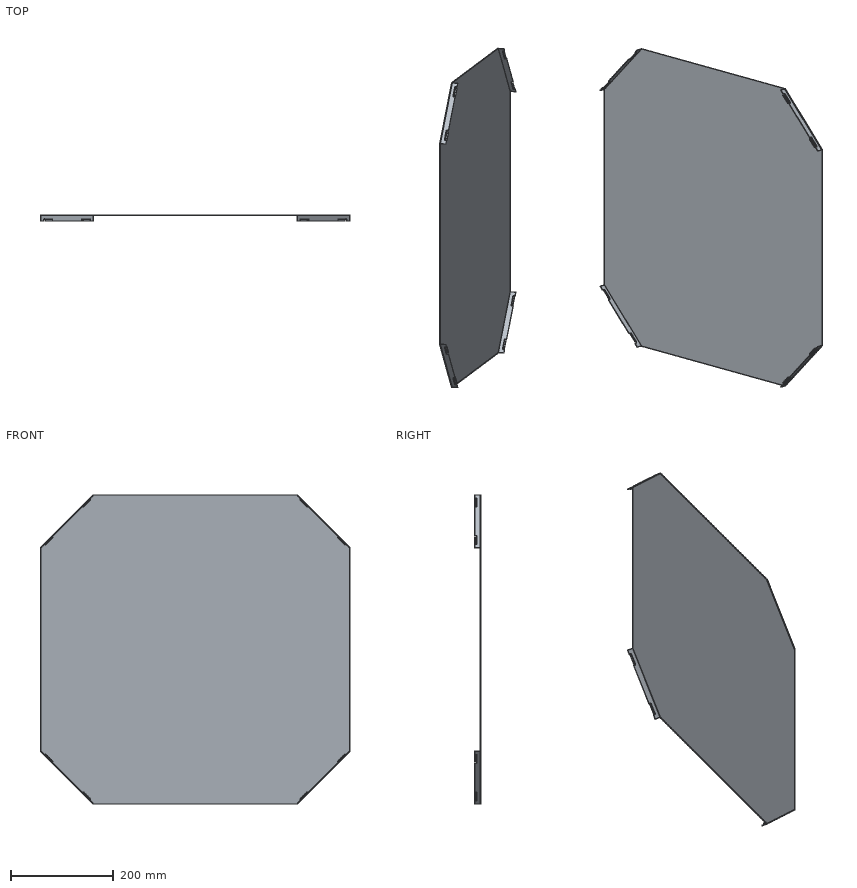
import cadquery as cq
import math

long_side = 400.0
corner_side = 146.0
flange_thickness = 1.0
overall_depth = 12.5
panel_thickness = 1.5

tab_length = 20.0
tab_spacing = 104.6
tab_height = 4.5
tab_slope_height = 1.5
tab_offset = 2.5
tab_clearance = 2.0
notch_corner_radius = 1.9

corner_leg = corner_side / math.sqrt(2)
half_width = long_side / 2 + corner_leg
back_face = overall_depth / 2
free_edge = -overall_depth / 2
flange_reach = (half_width + long_side / 2) / math.sqrt(2)
flange_inner = flange_reach - flange_thickness
tab_root = free_edge + tab_height
tab_centres = (-tab_spacing / 2, tab_spacing / 2)
corner_angles = (45, 135, 225, 315)


def make_panel():
    square_width = 2 * half_width
    return (
        cq.Workplane("XY")
        .box(square_width, panel_thickness, square_width)
        .edges("|Y")
        .chamfer(corner_leg)
        .translate((0, back_face - panel_thickness / 2, 0))
    )


def make_flat_flange():
    """Flat flange on the +X side, running along Z."""
    flange = cq.Workplane("XY").box(flange_thickness, overall_depth, corner_side)
    return flange.translate((flange_reach - flange_thickness / 2, 0, 0))


def make_notch(centre):
    notch_length = tab_length + 2 * tab_clearance
    return (
        cq.Workplane("XY")
        .box(flange_thickness, tab_height, notch_length)
        .edges("|X and >Y")
        .fillet(notch_corner_radius)
        .translate((flange_reach - flange_thickness / 2, free_edge + tab_height / 2, centre))
    )


def make_tab(centre):
    shoulder = tab_root - tab_slope_height
    profile = [
        (flange_reach, tab_root),
        (flange_reach - tab_offset, shoulder),
        (flange_reach - tab_offset, free_edge),
        (flange_inner - tab_offset, free_edge),
        (flange_inner - tab_offset, shoulder),
        (flange_inner, tab_root),
    ]
    tab = cq.Workplane("XY").polyline(profile).close().extrude(tab_length / 2, both=True)
    return tab.translate((0, 0, centre))


def make_flange():
    """Complete flange on the +X side, ready to be turned to a corner."""
    flange = make_flat_flange()
    for centre in tab_centres:
        flange = flange.cut(make_notch(centre)).union(make_tab(centre))
    return flange


result = make_panel()
corner_flange = make_flange()
for angle in corner_angles:
    result = result.union(corner_flange.rotate((0, 0, 0), (0, 1, 0), angle))